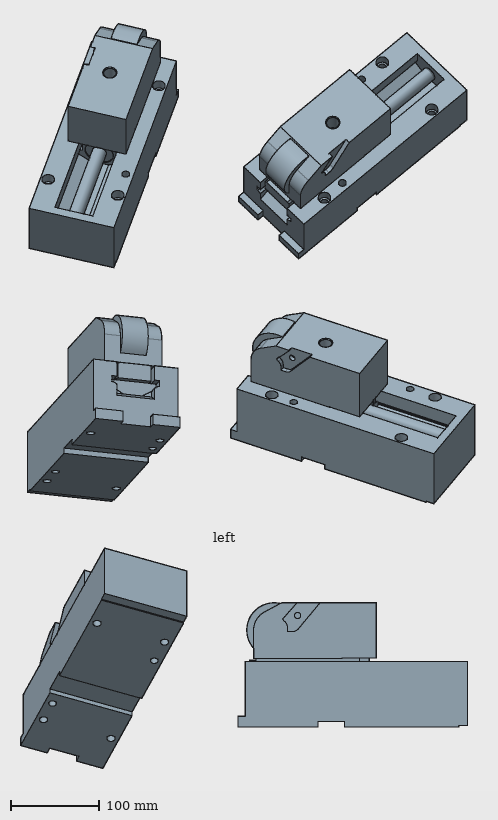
import cadquery as cq
import math


base_width = 100.0
total_length = 260.0
flange_length = 8.0
flange_height = 12.5
base_height = 74.4
body_length = total_length - flange_length
flange_notch_width = 35.4
key_slot_front = 139.5
key_slot_rear = 169.3
key_slot_height = 6.2
front_step_length = 10.0
front_step_height = 1.5

channel_front = 9.5
channel_half_width = 22.4
undercut_half_width = 28.3
ledge_half_width = 26.8
floor_half_width = 11.2
shoulder_height = base_height - 17.5
ledge_height = base_height - 24.5
floor_height = base_height - 33.5
chute_angle = 30.0

hole_x = 41.0
bolt_hole_diameter = 9.4
bolt_rows = (46.3, 212.0)
counterbore_diameter = 14.0
counterbore_depth = 13.0
dowel_hole_diameter = 8.5
dowel_hole_places = ((-hole_x, 184.0), (hole_x, 78.3))

carriage_width = 68.0
carriage_front = 103.2
carriage_rear = 242.3
carriage_bottom = 77.5
carriage_top = 141.0
relief_rear = 142.0
relief_height = 0.5
slope_front = 210.3

nose_y = 219.0
nose_z = 109.7
nose_radius = 31.2
nose_width = 30.7
cheek_radius = carriage_rear - nose_y

top_hole_x = -2.5
top_hole_y = 163.3
top_hole_diameter = 14.0
top_hole_depth = 26.0
top_hole_chamfer = 1.0

pocket_depth = 5.5
pocket_mouth_front = 167.0
pocket_mouth_rear = 193.0
pocket_floor_front = 194.2
pocket_floor_rear = 203.8
pocket_floor_z = 108.2
pocket_bend_z = 116.5
pocket_tip_y = 209.5
pocket_tip_z = 122.2
pocket_floor_radius = 8.8
pocket_bend_radius = 10.0
pocket_hole_y = 192.5
pocket_hole_z = 126.4
pocket_hole_diameter = 7.0
pocket_hole_depth = 5.2

plate_front = 111.3
plate_rear = 122.2
plate_half_width = 19.8
foot_rear = 239.7
foot_half_width = 21.0
head_half_width = 27.5
tail_rear = 247.0
tail_top = 76.0
tail_bevel_width = 2.3
tail_bevel_height = 1.3

rod_radius = 8.3
rod_z = base_height - 15.5
rod_rounding = 2.3
recess_radius = 16.6
recess_depth = 1.3


def block(x0, x1, y0, y1, z0, z1):
    """Box between two opposite corners."""
    return cq.Workplane("XY").box(x1 - x0, y1 - y0, z1 - z0, centered=False).translate((x0, y0, z0))


def symmetric_prism(half_outline, y0, y1):
    """Prism along Y whose section is the (x, z) half outline and its mirror image."""
    mirrored = [(-x, z) for x, z in reversed(half_outline)]
    section = cq.Workplane("XZ", origin=(0, y0, 0)).polyline(half_outline + mirrored).close()
    return section.extrude(y0 - y1)


def cylinder_along_y(radius, y0, y1):
    """Cylinder on the axis of the rod."""
    return cq.Workplane("XZ", origin=(0, y0, rod_z)).circle(radius).extrude(y0 - y1)


def make_base():
    half_width = base_width / 2
    side_outline = [
        (0, front_step_height),
        (front_step_length, front_step_height),
        (front_step_length, 0),
        (key_slot_front, 0),
        (key_slot_front, key_slot_height),
        (key_slot_rear, key_slot_height),
        (key_slot_rear, 0),
        (total_length, 0),
        (total_length, flange_height),
        (body_length, flange_height),
        (body_length, base_height),
        (0, base_height),
    ]
    base = cq.Workplane("YZ", origin=(-half_width, 0, 0)).polyline(side_outline).close().extrude(base_width)

    notch_half = flange_notch_width / 2
    base = base.cut(block(-notch_half, notch_half, body_length, total_length, 0, flange_height))

    channel_outline = [
        (channel_half_width, base_height),
        (channel_half_width, shoulder_height),
        (undercut_half_width, shoulder_height),
        (undercut_half_width, ledge_height),
        (ledge_half_width, ledge_height),
        (floor_half_width, floor_height),
    ]
    base = base.cut(symmetric_prism(channel_outline, channel_front, body_length))

    chute_drop = (body_length - foot_rear) * math.tan(math.radians(chute_angle))
    chute_outline = [
        (foot_rear, base_height),
        (foot_rear, floor_height),
        (body_length, floor_height - chute_drop),
        (body_length, base_height),
    ]
    chute = cq.Workplane("YZ").polyline(chute_outline).close().extrude(channel_half_width, both=True)
    base = base.cut(chute)

    bolt_places = [(x, y) for x in (-hole_x, hole_x) for y in bolt_rows]
    top = cq.Workplane("XY", origin=(0, 0, base_height))
    base = base.cut(top.pushPoints(bolt_places).circle(counterbore_diameter / 2).extrude(-counterbore_depth))
    base = base.cut(top.pushPoints(bolt_places).circle(bolt_hole_diameter / 2).extrude(-base_height))
    return base.cut(top.pushPoints(dowel_hole_places).circle(dowel_hole_diameter / 2).extrude(-base_height))


def carriage_block():
    """Block whose rear slope runs tangentially into the rounded cheeks around the nose axis."""
    rise = carriage_top - nose_z
    setback = slope_front - nose_y
    tangent_angle = math.atan2(rise, setback) - math.acos(cheek_radius / math.hypot(rise, setback))

    def on_cheek(angle):
        return (nose_y + cheek_radius * math.cos(angle), nose_z + cheek_radius * math.sin(angle))

    outline = (
        cq.Workplane("YZ", origin=(-carriage_width / 2, 0, 0))
        .moveTo(carriage_front, carriage_bottom + relief_height)
        .lineTo(relief_rear, carriage_bottom + relief_height)
        .lineTo(relief_rear, carriage_bottom)
        .lineTo(carriage_rear, carriage_bottom)
        .lineTo(carriage_rear, nose_z)
        .threePointArc(on_cheek(tangent_angle / 2), on_cheek(tangent_angle))
        .lineTo(slope_front, carriage_top)
        .lineTo(carriage_front, carriage_top)
        .close()
    )
    return outline.extrude(carriage_width)


def carriage_nose():
    axis = cq.Workplane("YZ", origin=(-nose_width / 2, nose_y, nose_z))
    return axis.circle(nose_radius).extrude(nose_width)


def top_hole():
    radius = top_hole_diameter / 2
    mouth = cq.Workplane("XY", origin=(top_hole_x, top_hole_y, carriage_top))
    chamfer = mouth.circle(radius + top_hole_chamfer).workplane(offset=-top_hole_chamfer).circle(radius).loft()
    return mouth.circle(radius).extrude(-top_hole_depth).union(chamfer)


def side_pocket():
    side_x = -carriage_width / 2
    side = cq.Workplane("YZ", origin=(side_x, 0, 0))
    outline = [
        (pocket_mouth_front, carriage_top),
        (pocket_floor_front, pocket_floor_z),
        (pocket_floor_rear, pocket_floor_z),
        (pocket_floor_rear, pocket_bend_z),
        (pocket_tip_y, pocket_tip_z),
        (pocket_mouth_rear, carriage_top),
    ]
    pocket = side.polyline(outline).close().extrude(pocket_depth)

    middle_x = side_x + pocket_depth / 2
    floor_corner = cq.NearestToPointSelector((middle_x, pocket_floor_front, pocket_floor_z))
    pocket = pocket.edges(floor_corner).fillet(pocket_floor_radius)
    bend_corner = cq.NearestToPointSelector((middle_x, pocket_floor_rear, pocket_bend_z))
    pocket = pocket.edges(bend_corner).fillet(pocket_bend_radius)

    hole = side.center(pocket_hole_y, pocket_hole_z).circle(pocket_hole_diameter / 2)
    return pocket.union(hole.extrude(pocket_depth + pocket_hole_depth))


def foot_section(neck_half_width, y0, y1):
    """Neck with a wide head that rests on the V-shaped floor of the channel."""
    outline = [
        (neck_half_width, carriage_bottom + relief_height),
        (neck_half_width, shoulder_height),
        (head_half_width, shoulder_height),
        (head_half_width, ledge_height),
        (ledge_half_width, ledge_height),
        (floor_half_width, floor_height),
    ]
    return symmetric_prism(outline, y0, y1)


def foot_tail():
    """Bevelled tongue behind the foot."""
    outline = [
        (plate_half_width - tail_bevel_width, tail_top),
        (plate_half_width, tail_top - tail_bevel_height),
        (plate_half_width, shoulder_height),
    ]
    return symmetric_prism(outline, foot_rear, tail_rear)


def make_carriage():
    carriage = carriage_block().union(carriage_nose())
    carriage = carriage.union(foot_section(plate_half_width, plate_front, plate_rear))
    carriage = carriage.union(foot_section(foot_half_width, plate_rear, foot_rear))
    carriage = carriage.union(foot_tail())
    carriage = carriage.cut(top_hole()).cut(side_pocket())

    carriage = carriage.cut(cylinder_along_y(recess_radius, plate_front, plate_front + recess_depth))
    return carriage.cut(cylinder_along_y(rod_radius, plate_front, plate_rear))


def make_rod():
    return cylinder_along_y(rod_radius, channel_front, plate_rear).faces("<Y").edges().fillet(rod_rounding)


base = make_base()
carriage = make_carriage()
rod = make_rod()

result = cq.Compound.makeCompound([base.val(), carriage.val(), rod.val()])